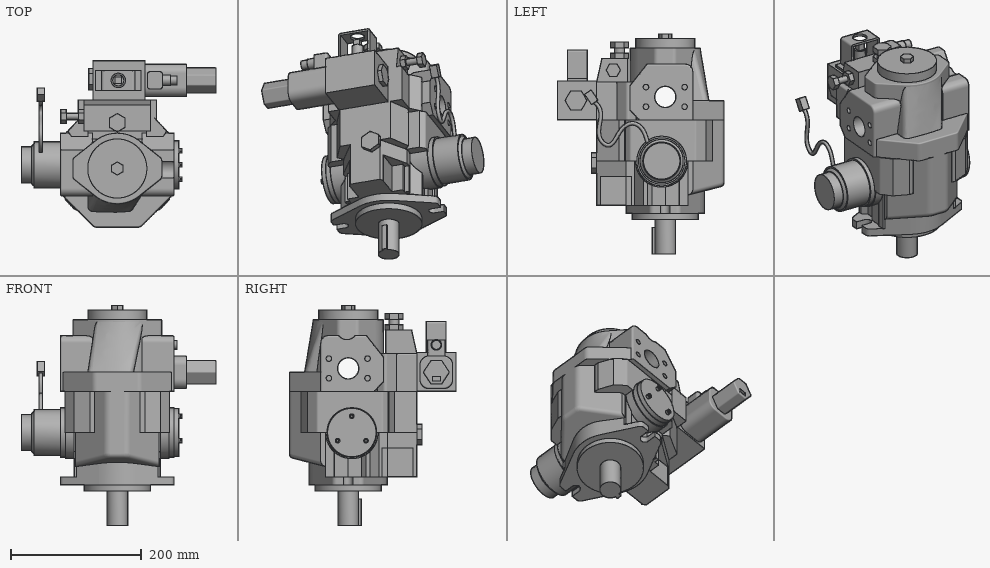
import cadquery as cq
import math


half_span = 87
front_y = -90
rear_y = 105
flange_thickness = 12
wing_bottom_z = 80
joint_z = 143
cap_base_top_z = 172.5
port_block_top_z = 228
cover_z = 252.6

shaft_radius = 16
shaft_bottom_z = -62.2
overall_height = 336.5
key_width = 8
key_top_y = 20
key_top_z = -21.5
pilot_radius = 50.8
pilot_height = 9.7

flange_radius = 60
flange_end_half_width = 22
slot_width = 14.3
slot_center_x = 73
skirt_half_width = 64

swivel_y = 5.5
swivel_z = wing_bottom_z
swivel_radius = 38
cover_disc_radius = 37
cover_disc_thickness = 7
cover_bolt_circle = 25
cover_bolt_radius = 3.5
cover_bolt_length = 5
cover_bolt_hex = 4

port_axis_z = 178
port_radius = 16
port_bolt_spacing_y = 59
port_bolt_spacing_z = 30
port_bolt_hole = 8.5
port_bolt_depth = 20

column_half_width = 60
column_top_z = 201
column_head_z = 237
head_bottom_z = 195
valve_x = (-37.5, 42.5)
valve_rear_y = 165
solenoid_y = 134.7
solenoid_z = 172


def box(x, y, z):
    """Box from (low, high) pairs along each axis."""
    return (
        cq.Workplane("XY")
        .box(x[1] - x[0], y[1] - y[0], z[1] - z[0], centered=False)
        .translate((x[0], y[0], z[0]))
    )


def x_rod(radius, x_start, x_end, y, z):
    """Cylinder along X."""
    return cq.Workplane("YZ", origin=(x_start, y, z)).circle(radius).extrude(x_end - x_start)


def z_rod(radius, z_start, z_end, x=0, y=0):
    """Cylinder along Z."""
    return cq.Workplane("XY", origin=(x, y, z_start)).circle(radius).extrude(z_end - z_start)


def hexagon(plane, origin, corner_radius, length, turn=0):
    """Hexagonal prism on a named plane, with its first corner turned from the local X axis."""
    corners = [
        (
            corner_radius * math.cos(math.radians(turn + 60 * i)),
            corner_radius * math.sin(math.radians(turn + 60 * i)),
        )
        for i in range(6)
    ]
    return cq.Workplane(plane, origin=origin).polyline(corners).close().extrude(length)


def lobed_plate(radius, half_length, half_width, z_start, z_end):
    """Round plate whose sides run tangentially out to two narrow flat ends at +X and -X."""
    corner_distance = math.hypot(half_length, half_width)
    tangent_angle = math.atan2(half_width, half_length) + math.acos(radius / corner_distance)
    tangent_x = radius * math.cos(tangent_angle)
    tangent_y = radius * math.sin(tangent_angle)
    return (
        cq.Workplane("XY", origin=(0, 0, z_start))
        .moveTo(half_length, -half_width)
        .lineTo(half_length, half_width)
        .lineTo(tangent_x, tangent_y)
        .threePointArc((0, radius), (-tangent_x, tangent_y))
        .lineTo(-half_length, half_width)
        .lineTo(-half_length, -half_width)
        .lineTo(-tangent_x, -tangent_y)
        .threePointArc((0, -radius), (tangent_x, -tangent_y))
        .close()
        .extrude(z_end - z_start)
    )


def mirrored(half):
    """A solid joined with its mirror image about the YZ plane."""
    return half.union(half.mirror("YZ"))


def make_shaft_end():
    key_half = key_width / 2
    shaft = z_rod(shaft_radius, shaft_bottom_z, 0)
    key = box((-key_half, key_half), (0, key_top_y), (shaft_bottom_z, key_top_z))
    pilot = z_rod(pilot_radius, -pilot_height, 0)
    return shaft.union(key).union(pilot)


def make_flange():
    end_round = 8
    skirt_top_z = 45
    flange = lobed_plate(flange_radius, half_span, flange_end_half_width, 0, flange_thickness)
    flange = flange.edges("|Z and (>X or <X)").fillet(end_round)
    slot_length = 2 * (half_span - slot_center_x) + slot_width
    slots = (
        cq.Workplane("XY")
        .pushPoints([(-half_span, 0), (half_span, 0)])
        .slot2D(slot_length, slot_width)
        .extrude(flange_thickness)
    )
    skirt = lobed_plate(flange_radius, half_span, flange_end_half_width, 0, skirt_top_z)
    skirt = skirt.intersect(
        box((-skirt_half_width, skirt_half_width), (-flange_radius, 0), (0, skirt_top_z))
    )
    return flange.cut(slots).union(skirt)


def make_belly():
    """Faceted front of the housing with a tilted underside."""
    nose_half_width = 16
    side_x = 64
    side_y = front_y + side_x - nose_half_width
    low_z = 28
    nose_bottom_z = 42
    low_y = -35
    corner_round = 13
    edge_round = 7
    outline = [
        (-side_x, 0),
        (-side_x, side_y),
        (-nose_half_width, front_y),
        (nose_half_width, front_y),
        (side_x, side_y),
        (side_x, 0),
    ]
    belly = cq.Workplane("XY").polyline(outline).close().extrude(joint_z)
    belly = belly.edges("|Z and <Y").fillet(corner_round)
    underside = (
        cq.Workplane("YZ", origin=(-side_x, 0, 0))
        .polyline([(front_y, 0), (front_y, nose_bottom_z), (low_y, low_z), (0, low_z), (0, 0)])
        .close()
        .extrude(2 * side_x)
    )
    belly = belly.cut(underside)
    front_bottom = cq.selectors.BoxSelector(
        (-side_x + 1, front_y - 1, low_z),
        (side_x - 1, side_y + 1, nose_bottom_z + 1),
    )
    return belly.edges(front_bottom).fillet(edge_round)


def make_wings():
    """Wide upper housing with a bolt boss at each front corner."""
    side_x = 80
    back_y = 61
    inner_x = 35
    front_notch_y = -72
    corner_round = 5
    wing = (
        cq.Workplane("XY", origin=(0, 0, wing_bottom_z))
        .polyline(
            [
                (0, back_y),
                (72, back_y),
                (side_x, 53),
                (side_x, -47),
                (66, -62),
                (42, front_notch_y),
                (inner_x, front_notch_y),
                (inner_x, -50),
                (0, -50),
            ]
        )
        .close()
        .extrude(joint_z - wing_bottom_z)
    )
    wing = wing.edges("|Z and >X").fillet(corner_round)
    return mirrored(wing)


def make_lower_housing():
    """Lower housing, hollowed above the flange slots to leave room for the mounting bolts."""
    half_width = 66
    neck_half_width = 45
    corner_front_y = -35
    corner_back_y = 33
    neck_start_y = 47
    back_y = 60
    recess_depth = 8
    recess_top_z = 55
    floor_x = half_width - recess_depth
    half = (
        cq.Workplane("XY", origin=(0, 0, flange_thickness))
        .polyline(
            [
                (0, corner_front_y),
                (half_width, corner_front_y),
                (half_width, corner_back_y),
                (neck_half_width, neck_start_y),
                (neck_half_width, back_y),
                (0, back_y),
            ]
        )
        .close()
        .extrude(wing_bottom_z - flange_thickness)
    )
    recess = (
        cq.Workplane("XY", origin=(0, 0, flange_thickness))
        .polyline([(half_width, 27), (floor_x, 20), (floor_x, -17), (half_width, -22)])
        .close()
        .extrude(recess_top_z - flange_thickness)
    )
    return mirrored(half.cut(recess))


def make_swivel_bosses():
    """Round bosses at both ends of the swivel axis and the bolted cover at +X."""
    boss = x_rod(swivel_radius, -half_span, half_span, swivel_y, swivel_z)
    root_radius = 40
    root_half_length = 79
    root = x_rod(root_radius, -root_half_length, root_half_length, swivel_y, swivel_z)
    cover_end_x = half_span + cover_disc_thickness
    disc = x_rod(cover_disc_radius, half_span, cover_end_x, swivel_y, swivel_z)
    bosses = boss.union(root).union(disc)
    for angle in (90, 210, 330):
        bolt_y = swivel_y + cover_bolt_circle * math.cos(math.radians(angle))
        bolt_z = swivel_z + cover_bolt_circle * math.sin(math.radians(angle))
        head = x_rod(cover_bolt_radius, cover_end_x, cover_end_x + cover_bolt_length, bolt_y, bolt_z)
        socket_origin = (cover_end_x + cover_bolt_length / 2, bolt_y, bolt_z)
        socket = hexagon("YZ", socket_origin, cover_bolt_hex / 2, cover_bolt_length)
        bosses = bosses.union(head.cut(socket))
    return bosses


def make_cap_base():
    nose_half_width = 35
    back_y = 40
    nose_round = 10
    edge_round = 2
    side_y = front_y + half_span - nose_half_width
    outline = [
        (-half_span, back_y),
        (-half_span, side_y),
        (-nose_half_width, front_y),
        (nose_half_width, front_y),
        (half_span, side_y),
        (half_span, back_y),
    ]
    base = cq.Workplane("XY", origin=(0, 0, joint_z)).polyline(outline).close()
    base = base.extrude(cap_base_top_z - joint_z)
    return base.edges("|Z and <Y").fillet(nose_round).edges(">Z and <Y").fillet(edge_round)


def make_port_blocks():
    inner_x = 38
    front_face_y = -42
    flat_back_y = 28
    back_face_y = 54
    front_round = 11
    edge_round = 3
    groove_radius = 16
    groove_rise = 10
    groove_y = -2
    block = (
        cq.Workplane("YZ", origin=(inner_x, 0, 0))
        .polyline(
            [
                (front_face_y, joint_z),
                (front_face_y, port_block_top_z),
                (flat_back_y, port_block_top_z),
                (back_face_y, 195),
                (back_face_y, 158),
                (40, joint_z),
            ]
        )
        .close()
        .extrude(half_span - inner_x)
    )
    block = block.edges("|X and <Y and >Z").fillet(front_round)
    block = block.edges("|Y and >Z and >X").fillet(edge_round)
    groove = x_rod(groove_radius, inner_x, half_span, groove_y, port_block_top_z + groove_rise)
    return mirrored(block).cut(groove)


def make_tapered_cap():
    """Lobed top of the end cap with a skewed front that spreads toward the base."""
    cap_radius = 54
    end_half_length = 68
    end_half_width = 15
    end_round = 8
    front_round = 8
    edge_round = 1.5
    body = lobed_plate(cap_radius, end_half_length, end_half_width, joint_z, cover_z)
    body = body.edges("|Z and (>X or <X)").fillet(end_round)
    body = body.faces(">Z").edges().fillet(edge_round)
    front = (
        cq.Workplane("XY", origin=(0, 0, cap_base_top_z))
        .moveTo(-45, 0)
        .lineTo(-45, -65)
        .threePointArc((-10, -67), (25, -65))
        .lineTo(25, 0)
        .close()
        .workplane(offset=cover_z - edge_round - cap_base_top_z)
        .moveTo(-33, 0)
        .lineTo(-33, -42)
        .threePointArc((4, 0.5 - cap_radius), (41, -35))
        .lineTo(41, 0)
        .close()
        .loft(ruled=True)
    )
    front_corners = cq.selectors.BoxSelector(
        (-50, -66, cap_base_top_z + 1),
        (50, -30, cover_z - edge_round - 1),
    )
    front = front.edges(front_corners).fillet(front_round)
    return body.union(front)


def make_top_cover():
    disc_radius = 45.2
    disc_top_z = 267.5
    hex_radius = 10
    hex_top_z = shaft_bottom_z + overall_height
    disc = z_rod(disc_radius, cover_z, disc_top_z)
    head = hexagon("XY", (0, 0, disc_top_z), hex_radius, hex_top_z - disc_top_z, turn=90)
    return disc.union(head)


def make_port_holes():
    bore = x_rod(port_radius, -half_span, half_span, 0, port_axis_z)
    bolt_y = port_bolt_spacing_y / 2
    bolt_z = port_bolt_spacing_z / 2
    for side in (-1, 1):
        outer = side * half_span
        for dy in (-bolt_y, bolt_y):
            for dz in (-bolt_z, bolt_z):
                inner = outer - side * port_bolt_depth
                hole = x_rod(port_bolt_hole / 2, outer, inner, dy, port_axis_z + dz)
                bore = bore.union(hole)
    return bore


def make_control_column():
    width = (-column_half_width, column_half_width)
    upper_half_width = 51
    upper_front_y = 57
    column_top = box(width, (72, rear_y), (joint_z, column_top_z))
    column_top = column_top.edges(">Z and |Y").fillet(3)
    waist = (
        cq.Workplane("XY", origin=(0, 0, wing_bottom_z))
        .polyline([(0, 47), (50, 47), (50, 62), (58, 71), (41, rear_y), (0, rear_y)])
        .close()
        .extrude(joint_z - wing_bottom_z)
    )
    foot = (
        cq.Workplane("XY", origin=(0, 0, flange_thickness))
        .polyline([(0, 47), (52, 47), (52, 60), (24, rear_y), (0, rear_y)])
        .close()
        .extrude(wing_bottom_z - flange_thickness)
    )
    pocket_floor_x = 27
    pocket_top_z = 56
    pocket = box((pocket_floor_x, column_half_width), (52, 99), (flange_thickness, pocket_top_z))
    column = mirrored(waist.union(foot.cut(pocket)))
    core = box((-upper_half_width, upper_half_width), (45, rear_y), (joint_z, head_bottom_z))
    head = (
        cq.Workplane("YZ", origin=(-upper_half_width, 0, 0))
        .polyline(
            [
                (upper_front_y, head_bottom_z),
                (upper_front_y, column_head_z),
                (97, column_head_z),
                (rear_y, column_top_z),
                (rear_y, head_bottom_z),
            ]
        )
        .close()
        .extrude(2 * upper_half_width)
    )
    lobe = (
        cq.Workplane("XY", origin=(0, 0, joint_z))
        .polyline([(45, 80), (57, 77), (76, 57), (66, 44), (45, 44)])
        .close()
        .extrude(column_top_z - joint_z)
    )
    lobe = lobe.edges("|Z and >X").fillet(5)
    return column.union(column_top).union(core).union(head).union(mirrored(lobe))


def make_adjusting_screws():
    """Locknut, shank and hexagonal head on top of the column, on its -X side, and a rear plug."""
    top_y = 70
    top_hex = 14
    top_nut_height = 8
    top_head_z = 253
    top_head_height = 9
    screws = hexagon("XY", (0, top_y, column_head_z), top_hex, top_nut_height, turn=90)
    screws = screws.union(z_rod(8, column_head_z, top_head_z, y=top_y))
    screws = screws.union(hexagon("XY", (0, top_y, top_head_z), top_hex, top_head_height, turn=90))

    side_y = 79.5
    side_z = 219
    side_hex = 11
    side_nut_x = -59
    side_nut_width = 9
    side_head_x = -86.5
    side_head_width = 8.5
    screws = screws.union(hexagon("YZ", (side_nut_x, side_y, side_z), side_hex, side_nut_width))
    screws = screws.union(x_rod(5, side_head_x, side_nut_x, side_y, side_z))
    screws = screws.union(hexagon("YZ", (side_head_x, side_y, side_z), side_hex, side_head_width))

    rear_plug_height = 8
    rear_plug_hex = 16
    rear_origin = (-11, rear_y + rear_plug_height, 77)
    return screws.union(hexagon("XZ", rear_origin, rear_plug_hex, rear_plug_height, turn=90))


def make_valve_block():
    """Valve block with a hexagonal plug at -X and a bracket over a central post on top."""
    block_top_z = 202.5
    block = box(valve_x, (rear_y, valve_rear_y), (joint_z, block_top_z))
    plug_length = 6.5
    plug_hex = 16.7
    plug = hexagon("YZ", (valve_x[0] - plug_length, 136.5, 172.5), plug_hex, plug_length)

    foot_y = (119, 149.5)
    foot_top_z = 206
    foot = box((-33, 36.5), foot_y, (block_top_z, foot_top_z))

    bracket_x = (-24, 27)
    bracket_top_z = 250
    bracket_wall = 3.5
    bracket_round = 4
    bracket_hole_radius = 11
    bracket = box(bracket_x, foot_y, (foot_top_z, bracket_top_z))
    bracket = bracket.edges("|Y and >Z").fillet(bracket_round)
    window_x = (bracket_x[0] + bracket_wall, bracket_x[1] - bracket_wall)
    bracket = bracket.cut(box(window_x, foot_y, (foot_top_z, bracket_top_z - bracket_wall)))
    post_x = sum(bracket_x) / 2
    bracket = bracket.cut(z_rod(bracket_hole_radius, foot_top_z, bracket_top_z, post_x, solenoid_y))

    post_radius = 8.5
    post_top_z = 230
    stem_half = 5
    stem_top_z = 240
    post = z_rod(post_radius, foot_top_z, post_top_z, post_x, solenoid_y)
    stem = box(
        (post_x - stem_half, post_x + stem_half),
        (solenoid_y - stem_half, solenoid_y + stem_half),
        (post_top_z, stem_top_z),
    )
    return block.union(plug).union(foot).union(bracket).union(post).union(stem)


def make_solenoid():
    """Rounded square coil, six-sided tip and the cable terminal on top of the coil."""
    coil_size = 50
    coil_corner_round = 14
    coil_end_x = 106
    end_round = 2
    coil = cq.Workplane("YZ", origin=(valve_x[1], solenoid_y, solenoid_z)).rect(coil_size, coil_size)
    coil = coil.extrude(coil_end_x - valve_x[1]).edges("|X").fillet(coil_corner_round)
    coil = coil.faces(">X").edges().fillet(end_round)

    tip_end_x = 151.2
    tip_half_width = 20
    tip_half_height = 18.2
    tip_half_flat = 8
    tip_edge_round = 2.5
    tip_outline = [
        (tip_half_width, 0),
        (tip_half_flat, tip_half_height),
        (-tip_half_flat, tip_half_height),
        (-tip_half_width, 0),
        (-tip_half_flat, -tip_half_height),
        (tip_half_flat, -tip_half_height),
    ]
    tip = cq.Workplane("YZ", origin=(coil_end_x, solenoid_y, solenoid_z)).polyline(tip_outline)
    tip = tip.close().extrude(tip_end_x - coil_end_x).edges("|X").fillet(tip_edge_round)
    tip = tip.faces(">X").edges().fillet(end_round)
    notch_depth = 6
    notch = box((tip_end_x - notch_depth, tip_end_x), (solenoid_y - 6, solenoid_y + 6), (159, 166))

    terminal_x = (46, 69)
    terminal_top_z = 221.5
    terminal_round = 4
    gland_z = 214
    knob_x = (81, 91.5)
    terminal = box(terminal_x, (121.5, 148), (solenoid_z, terminal_top_z))
    terminal = terminal.edges("|Z").fillet(terminal_round)
    stub = x_rod(8, terminal_x[1], knob_x[0], solenoid_y, gland_z)
    knob = x_rod(7, knob_x[0], knob_x[1], solenoid_y, gland_z)
    return coil.union(tip.cut(notch)).union(terminal).union(stub).union(knob)


def make_pump():
    pump = make_shaft_end()
    sections = (
        make_flange(),
        make_lower_housing(),
        make_belly(),
        make_wings(),
        make_swivel_bosses(),
        make_cap_base(),
        make_port_blocks(),
        make_tapered_cap(),
        make_top_cover(),
        make_control_column(),
        make_adjusting_screws(),
        make_valve_block(),
        make_solenoid(),
    )
    for section in sections:
        pump = pump.union(section)
    return pump.cut(make_port_holes())


def make_sensor():
    body_radius = 35.4
    tip_radius = 27.8
    body_end_x = -127
    cone_end_x = -131
    tip_end_x = -146.8
    profile = [
        (-half_span, 0),
        (-half_span, body_radius),
        (body_end_x, body_radius),
        (body_end_x, 33),
        (cone_end_x, 29),
        (cone_end_x, tip_radius),
        (tip_end_x, tip_radius),
        (tip_end_x, 0),
    ]
    can = (
        cq.Workplane("XY", origin=(0, swivel_y, swivel_z))
        .polyline(profile)
        .close()
        .revolve(360, (0, 0, 0), (1, 0, 0))
    )
    cable_x = -117
    cable_radius = 2.8
    cable_path = [
        (22, 98),
        (27, 109),
        (37, 131),
        (49.6, 137.5),
        (62, 133),
        (75, 115.5),
        (86.6, 104),
        (97.7, 111),
        (101.5, 125.6),
        (98.7, 148),
        (108, 170),
    ]
    path = cq.Workplane("YZ", origin=(cable_x, 0, 0)).spline(cable_path)
    start = path.val().startPoint()
    heading = path.val().tangentAt(0)
    section_plane = cq.Plane(origin=start.toTuple(), xDir=(1, 0, 0), normal=heading.toTuple())
    cable = cq.Workplane(section_plane).circle(cable_radius).sweep(path)
    plug_size = (11.5, 12, 19)
    plug_tilt = -34
    plug_center = (cable_x, 113, 177.5)
    plug = cq.Workplane("XY").box(*plug_size).rotate((0, 0, 0), (1, 0, 0), plug_tilt)
    plug = plug.translate(plug_center)
    return can.union(cable).union(plug)


pump = make_pump()
sensor = make_sensor()
result = cq.Compound.makeCompound([pump.val(), sensor.val()])